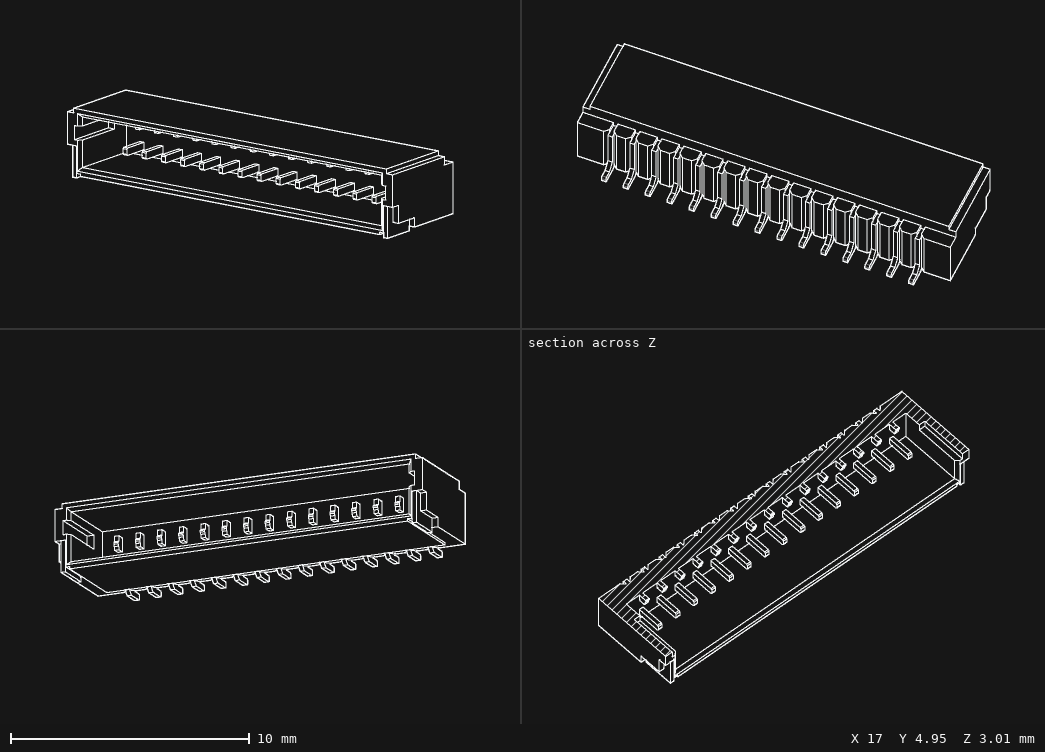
import cadquery as cq


LENGTH = 17.0
HEIGHT = 3.01
BODY_BOTTOM = 0.2
SHOULDER_Z = 2.8
SHOULDER_WIDTH = 0.32
STEP_Y = 3.65
REAR_Y = 4.25
REAR_TOP = 2.45
PAD_BOTTOM = 0.1
PAD_INSET = 0.68

CAVITY_INSET = 0.68
CAVITY_BOTTOM = 0.46
CAVITY_TOP = 2.65
CAVITY_DEPTH = 3.23
LEAD_IN = 0.15
KEYWAY_BOTTOM = 1.65
KEYWAY_TOP = 2.26
KEYWAY_INSET = 0.37
KEYWAY_DEPTH = 2.38

CLIP_RECESS = 0.27
CLIP_THICKNESS = 0.2
CLIP_GAP = 0.03
CLIP_SETBACK = 0.008
CLIP_POST_DEPTH = 0.4
CLIP_TOP = 1.4
CLIP_FOOT_DEPTH = 1.55
CLIP_FOOT_TOP = 0.61

CONTACT_COUNT = 15
ROW_SPAN = 14.0
CONTACT_WIDTH = 0.2
SLOT_CHAMFER = 0.19
WEB_FRONT_Y = 3.4
WEB_TOP = 2.26
NOSE_BOTTOM = 1.65
NOSE_FACE_Y = 2.89
NOSE_STEP = 0.07
NOSE_TIP_TOP = 1.95
NOSE_TIP_BOTTOM = 1.89
NOSE_BEND_Z = 1.8
NOSE_BEND_SETBACK = 0.05
NOSE_LEAN = 0.03
LOWER_BOTTOM = 0.71
LOWER_TOP = 1.04
LOWER_TIP_Y = 2.04
TIP_CHAMFER = 0.05
LEG_TOP = 0.58
FOOT_THICKNESS = 0.27
FOOT_BEND_Y = 4.55
FOOT_HEEL_Y = 4.13
FOOT_END_Y = 4.95
FOOT_ROUND = 0.08
LEG_BURIED_Y = 3.93


def block(x0, x1, y0, y1, z0, z1):
    """Box between two opposite corners."""
    return cq.Workplane("XY").box(x1 - x0, y1 - y0, z1 - z0, centered=False).translate((x0, y0, z0))


def wide_block(width, y0, y1, z0, z1):
    """Box centred on X = 0."""
    return block(-width / 2, width / 2, y0, y1, z0, z1)


def side_profile(points, x_start, thickness):
    """Plate with a (Y, Z) outline, extruded toward +X from x_start."""
    return cq.Workplane("YZ", origin=(x_start, 0, 0)).polyline(points).close().extrude(thickness)


def housing_shell():
    body = wide_block(LENGTH, 0, STEP_Y, BODY_BOTTOM, SHOULDER_Z)
    body = body.union(wide_block(LENGTH, 0, REAR_Y, BODY_BOTTOM, REAR_TOP))
    body = body.union(wide_block(LENGTH - 2 * SHOULDER_WIDTH, 0, STEP_Y, REAR_TOP, HEIGHT))
    return body.union(wide_block(LENGTH - 2 * PAD_INSET, 0, STEP_Y, PAD_BOTTOM, CAVITY_BOTTOM))


def cavity():
    width = LENGTH - 2 * CAVITY_INSET
    height = CAVITY_TOP - CAVITY_BOTTOM
    middle = (CAVITY_TOP + CAVITY_BOTTOM) / 2
    chamber = wide_block(width, 0, CAVITY_DEPTH, CAVITY_BOTTOM, CAVITY_TOP)
    keyway = wide_block(LENGTH - 2 * KEYWAY_INSET, 0, KEYWAY_DEPTH, KEYWAY_BOTTOM, KEYWAY_TOP)
    lead_in = (
        cq.Workplane("XZ", origin=(0, 0, middle))
        .rect(width + 2 * LEAD_IN, height + 2 * LEAD_IN)
        .workplane(offset=-LEAD_IN)
        .rect(width, height)
        .loft(ruled=True)
    )
    return chamber.union(keyway).union(lead_in)


def clip_outline(front, bottom):
    """L-shaped (Y, Z) outline of a solder clip, starting at the given front edge and height."""
    return [
        (front, bottom),
        (CLIP_FOOT_DEPTH, bottom),
        (CLIP_FOOT_DEPTH, CLIP_FOOT_TOP),
        (CLIP_POST_DEPTH, CLIP_FOOT_TOP),
        (CLIP_POST_DEPTH, CLIP_TOP),
        (front, CLIP_TOP),
    ]


def left_clip_recess():
    width = CLIP_RECESS + CLIP_THICKNESS + CLIP_GAP
    return side_profile(clip_outline(0, BODY_BOTTOM), -LENGTH / 2, width)


def left_clip():
    return side_profile(clip_outline(CLIP_SETBACK, 0), -LENGTH / 2 + CLIP_RECESS, CLIP_THICKNESS)


def contact_slot(x):
    """Open slot in the rear block with a chamfered mouth."""
    half = CONTACT_WIDTH / 2
    mouth = half + SLOT_CHAMFER
    outline = [
        (x - half, STEP_Y),
        (x + half, STEP_Y),
        (x + half, REAR_Y - SLOT_CHAMFER),
        (x + mouth, REAR_Y),
        (x - mouth, REAR_Y),
        (x - half, REAR_Y - SLOT_CHAMFER),
    ]
    slot = cq.Workplane("XY", origin=(0, 0, BODY_BOTTOM)).polyline(outline).close()
    return slot.extrude(REAR_TOP - BODY_BOTTOM)


def contact(x):
    """Contact with a short upper nose, a longer lower prong and a gull-wing solder foot."""
    start = x - CONTACT_WIDTH / 2
    web = block(start, start + CONTACT_WIDTH, WEB_FRONT_Y, REAR_Y, LOWER_BOTTOM, WEB_TOP)
    tip_y = NOSE_FACE_Y - NOSE_STEP
    bend_y = tip_y + NOSE_BEND_SETBACK
    nose_outline = [
        (WEB_FRONT_Y, WEB_TOP),
        (NOSE_FACE_Y, WEB_TOP),
        (NOSE_FACE_Y, NOSE_TIP_TOP + NOSE_STEP),
        (tip_y, NOSE_TIP_TOP),
        (tip_y, NOSE_TIP_BOTTOM),
        (bend_y, NOSE_BEND_Z),
        (bend_y + NOSE_LEAN, NOSE_BOTTOM),
        (WEB_FRONT_Y, NOSE_BOTTOM),
    ]
    nose = side_profile(nose_outline, start, CONTACT_WIDTH)
    prong = block(start, start + CONTACT_WIDTH, LOWER_TIP_Y, REAR_Y, LOWER_BOTTOM, LOWER_TOP)
    prong = prong.faces("<Y").edges("|X").chamfer(TIP_CHAMFER)
    leg_outline = [
        (LEG_BURIED_Y, LOWER_TOP),
        (LEG_BURIED_Y, BODY_BOTTOM),
        (FOOT_HEEL_Y, 0),
        (FOOT_END_Y, 0),
        (FOOT_END_Y, FOOT_THICKNESS),
        (FOOT_BEND_Y, FOOT_THICKNESS),
        (REAR_Y, LEG_TOP),
        (REAR_Y, LOWER_TOP),
    ]
    leg = side_profile(leg_outline, start, CONTACT_WIDTH)
    leg = leg.faces(">Y").edges("|X").fillet(FOOT_ROUND)
    return web.union(nose).union(prong).union(leg)


result = housing_shell().cut(cavity())

recess = left_clip_recess()
clip = left_clip()
result = result.cut(recess).cut(recess.mirror("YZ"))
result = result.union(clip).union(clip.mirror("YZ"))

pitch = ROW_SPAN / (CONTACT_COUNT - 1)
for index in range(CONTACT_COUNT):
    contact_x = -ROW_SPAN / 2 + index * pitch
    result = result.cut(contact_slot(contact_x)).union(contact(contact_x))